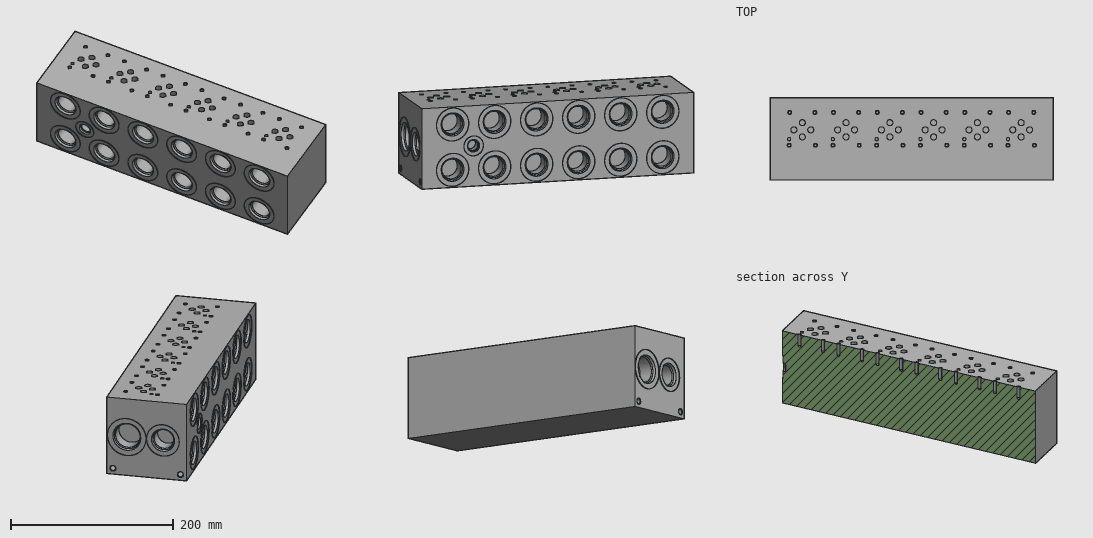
import cadquery as cq
import math

LENGTH = 349.25
WIDTH = 101.6
HEIGHT = 101.6
LEFT_FACE = -LENGTH / 2
FRONT_FACE = -WIDTH / 2
BACK_FACE = WIDTH / 2
TOP_FACE = HEIGHT / 2
BOTTOM_FACE = -HEIGHT / 2

STATION_COUNT = 6
STATION_PITCH = 53.975
FIRST_STATION_X = -(STATION_COUNT - 1) * STATION_PITCH / 2

SPOTFACE_DEPTH = 0.85
LARGE_PORT = {
    "spotface": 48.97,
    "mouth": 35.5,
    "taper_depth": 3.3,
    "taper_angle": 15,
    "bore": 31.05,
    "depth": 23.0,
}
MEDIUM_PORT = {
    "spotface": 41.45,
    "mouth": 29.18,
    "taper_depth": 3.3,
    "taper_angle": 15,
    "bore": 24.7,
    "depth": 23.0,
}
SMALL_PORT = {
    "spotface": 25.02,
    "mouth": 15.6,
    "taper_depth": 2.5,
    "taper_angle": 12,
    "bore": 12.76,
    "depth": 15.0,
}

WORK_PORT_INSET = 22.225
GAUGE_PORT_X = FIRST_STATION_X + STATION_PITCH / 2
TANK_PORT_Y = BACK_FACE - 25.4
PRESSURE_PORT_Y = BACK_FACE - 71.37

BOLT_SPACING_X = 31.0
FIRST_BOLT_Y = BACK_FACE - 18.1
FAR_BOLT_Y = FIRST_BOLT_Y - 40.5
FAR_BOLT_OVERHANG = 0.75
VALVE_PORT_DIAMETER = 7.49
VALVE_PORT_DEPTH = 25.0
VALVE_PORT_OFFSETS = [(5.1, 21.5), (15.5, 12.7), (15.5, 30.2), (25.9, 21.5)]
PIN_DIAMETER = 4.01
PIN_DEPTH = 6.0
PIN_OFFSET_Y = 33.0

DRILL_POINT_ANGLE = 118
BOLT_DRILL = 3.68
BOLT_MOUTH = 4.9
BOLT_DEPTH = 16.0
MOUNT_DRILL = 6.41
MOUNT_MOUTH = 7.9
MOUNT_DEPTH = 16.0
MOUNT_INSET = 7.87

INTO_LEFT = cq.Vector(1, 0, 0)
INTO_FRONT = cq.Vector(0, 1, 0)
INTO_TOP = cq.Vector(0, 0, -1)


def revolved_cutter(profile, origin, direction):
    """Revolve (radius, depth) points about an axis that enters the block at origin."""
    plane = cq.Plane(origin=origin, normal=direction.toTuple())
    upright = cq.Workplane("XZ").polyline(profile).close().revolve(axisStart=(0, 0), axisEnd=(0, 1))
    return upright.val().moved(cq.Location(plane))


def port_cutter(port, origin, direction):
    """Spotface, conical O-ring seat, 45 degree thread chamfer and flat-bottomed bore."""
    mouth_radius = port["mouth"] / 2
    taper_end = SPOTFACE_DEPTH + port["taper_depth"]
    throat_radius = mouth_radius - port["taper_depth"] * math.tan(math.radians(port["taper_angle"]))
    bore_radius = port["bore"] / 2
    chamfer_end = taper_end + throat_radius - bore_radius
    profile = [
        (0, 0),
        (port["spotface"] / 2, 0),
        (port["spotface"] / 2, SPOTFACE_DEPTH),
        (mouth_radius, SPOTFACE_DEPTH),
        (throat_radius, taper_end),
        (bore_radius, chamfer_end),
        (bore_radius, port["depth"]),
        (0, port["depth"]),
    ]
    return revolved_cutter(profile, origin, direction)


def tapped_cutter(drill, mouth, depth, origin, direction):
    """Drilled hole with a 45 degree mouth chamfer and a drill point."""
    chamfer = (mouth - drill) / 2
    point_length = drill / 2 / math.tan(math.radians(DRILL_POINT_ANGLE / 2))
    profile = [
        (0, 0),
        (mouth / 2, 0),
        (drill / 2, chamfer),
        (drill / 2, depth),
        (0, depth + point_length),
    ]
    return revolved_cutter(profile, origin, direction)


def plain_cutter(diameter, depth, origin, direction):
    """Flat-bottomed hole."""
    return cq.Solid.makeCylinder(diameter / 2, depth, cq.Vector(*origin), direction)


def station_cutters(station_x):
    """Two work ports on the front face and one valve pattern on the top face."""
    cutters = []
    for row_z in (TOP_FACE - WORK_PORT_INSET, BOTTOM_FACE + WORK_PORT_INSET):
        cutters.append(port_cutter(MEDIUM_PORT, (station_x, FRONT_FACE, row_z), INTO_FRONT))

    first_bolt_x = station_x - BOLT_SPACING_X / 2
    last_bolt_x = station_x + BOLT_SPACING_X / 2
    bolts = [
        (first_bolt_x, FIRST_BOLT_Y),
        (last_bolt_x, FIRST_BOLT_Y),
        (first_bolt_x - FAR_BOLT_OVERHANG, FAR_BOLT_Y),
        (last_bolt_x + FAR_BOLT_OVERHANG, FAR_BOLT_Y),
    ]
    for x, y in bolts:
        cutters.append(tapped_cutter(BOLT_DRILL, BOLT_MOUTH, BOLT_DEPTH, (x, y, TOP_FACE), INTO_TOP))

    for along, across in VALVE_PORT_OFFSETS:
        mouth = (first_bolt_x + along, FIRST_BOLT_Y - across, TOP_FACE)
        cutters.append(plain_cutter(VALVE_PORT_DIAMETER, VALVE_PORT_DEPTH, mouth, INTO_TOP))

    pin = (first_bolt_x - FAR_BOLT_OVERHANG, FIRST_BOLT_Y - PIN_OFFSET_Y, TOP_FACE)
    cutters.append(plain_cutter(PIN_DIAMETER, PIN_DEPTH, pin, INTO_TOP))
    return cutters


def left_end_cutters():
    """Tank and pressure ports with two mounting holes below them."""
    cutters = [
        port_cutter(LARGE_PORT, (LEFT_FACE, TANK_PORT_Y, 0), INTO_LEFT),
        port_cutter(MEDIUM_PORT, (LEFT_FACE, PRESSURE_PORT_Y, 0), INTO_LEFT),
    ]
    for y in (FRONT_FACE + MOUNT_INSET, BACK_FACE - MOUNT_INSET):
        mouth = (LEFT_FACE, y, BOTTOM_FACE + MOUNT_INSET)
        cutters.append(tapped_cutter(MOUNT_DRILL, MOUNT_MOUTH, MOUNT_DEPTH, mouth, INTO_LEFT))
    return cutters


all_cutters = left_end_cutters()
all_cutters.append(port_cutter(SMALL_PORT, (GAUGE_PORT_X, FRONT_FACE, 0), INTO_FRONT))
for station in range(STATION_COUNT):
    all_cutters += station_cutters(FIRST_STATION_X + station * STATION_PITCH)

block = cq.Workplane("XY").box(LENGTH, WIDTH, HEIGHT)
result = cq.Workplane(block.val().cut(*all_cutters))